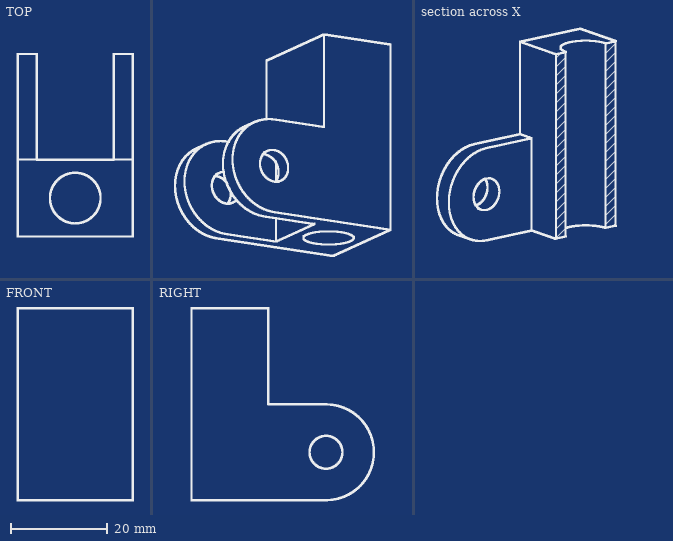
import cadquery as cq

width = 24.0
block_depth = 16.0
block_height = 40.0
bore_diameter = 10.5

lug_thickness = 4.0
lug_radius = 10.0
lug_reach = 28.0
pin_diameter = 6.8


def make_block():
    """Upright block with its front face on Y = 0 and its base on Z = 0."""
    return cq.Workplane("XY").box(width, block_depth, block_height, centered=(True, False, False))


def make_lug(left_face):
    """Round-ended lug, starting at X = left_face and reaching back from the block."""
    lug_height = 2 * lug_radius
    return (
        cq.Workplane("YZ", origin=(left_face, 0, 0))
        .lineTo(lug_reach, 0)
        .threePointArc((lug_reach + lug_radius, lug_radius), (lug_reach, lug_height))
        .lineTo(0, lug_height)
        .close()
        .extrude(lug_thickness)
    )


def make_bore():
    """Vertical bore through the middle of the block."""
    return (
        cq.Workplane("XY")
        .center(0, block_depth / 2)
        .circle(bore_diameter / 2)
        .extrude(block_height)
    )


def make_pin_hole():
    """Pin hole across both lugs, concentric with their round ends."""
    return (
        cq.Workplane("YZ", origin=(-width / 2, 0, 0))
        .center(lug_reach, lug_radius)
        .circle(pin_diameter / 2)
        .extrude(width)
    )


body = make_block()
for lug_left_face in (-width / 2, width / 2 - lug_thickness):
    body = body.union(make_lug(lug_left_face))

result = body.cut(make_bore()).cut(make_pin_hole())